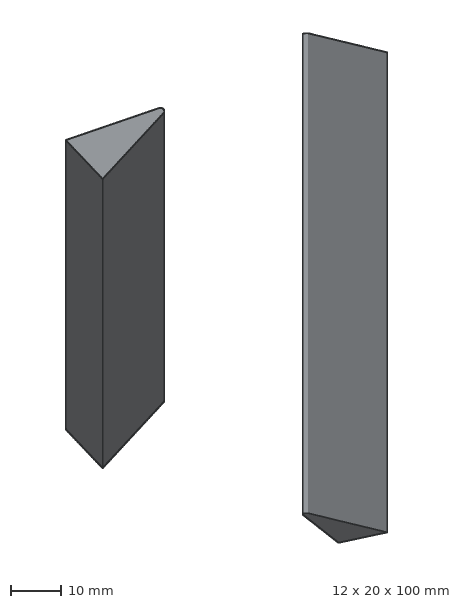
import cadquery as cq
import math

base_width = 12.0
depth = 20.0
length = 100.0
tip_radius = 0.8

half_width = base_width / 2
tip_center_y = depth - tip_radius
corner_to_center = math.hypot(half_width, tip_center_y)
flank_angle = math.atan2(half_width, tip_center_y) - math.asin(tip_radius / corner_to_center)
tangent_x = tip_radius * math.cos(flank_angle)
tangent_y = tip_center_y + tip_radius * math.sin(flank_angle)

result = (
    cq.Workplane("XY")
    .moveTo(-half_width, 0)
    .lineTo(half_width, 0)
    .lineTo(tangent_x, tangent_y)
    .threePointArc((0, depth), (-tangent_x, tangent_y))
    .close()
    .extrude(length)
)